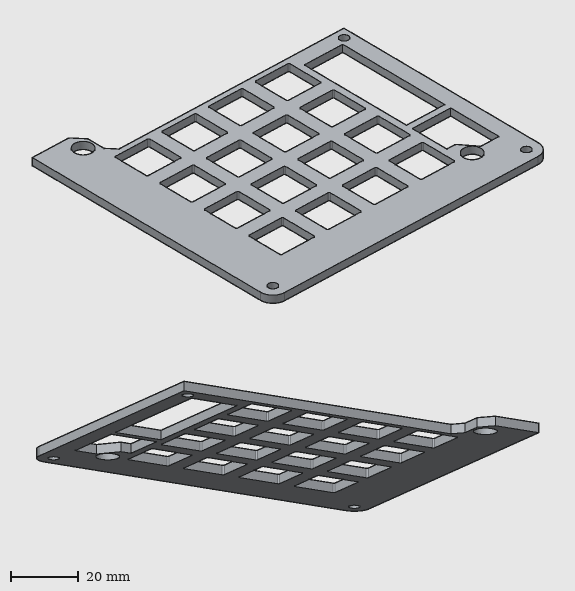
import cadquery as cq

width = 102.9
length = 113.7
thickness = 3.0
corner_radius = 5.0

left_edge = 14.4
foot_height = 18.8
foot_chamfer_x = 4.2
foot_chamfer_y = 3.8
step_start_x = 11.1
step_top_y = 21.7

key_size = 14.0
key_pitch = 19.1
key_count = 4
key_corner_radius = 0.5
first_key_x = 23.5
first_key_y = 24.9

window_bottom = 91.9
window_top = 107.6
display_left = 20.4
display_right = 64.1
side_left = 66.6
side_right = 87.3
side_notch_x = 81.4
side_notch_low = 95.4
side_notch_high = 100.2

screw_diameter = 3.4
left_screw_inset = 3.8
top_screw_inset = 3.5
screw_points = [
    (left_edge + left_screw_inset, length - top_screw_inset),
    (width - corner_radius, length - corner_radius),
    (width - corner_radius, corner_radius),
]
post_diameter = 7.0
post_points = [(6.8, 14.3), (88.1, 95.9)]


def make_plate():
    """Flat plate with a foot at the lower left and two rounded right corners."""
    outline = [
        (0, 0),
        (width, 0),
        (width, length),
        (left_edge, length),
        (left_edge, step_top_y),
        (step_start_x, foot_height),
        (foot_chamfer_x, foot_height),
        (0, foot_height - foot_chamfer_y),
    ]
    plate = cq.Workplane("XY").polyline(outline).close().extrude(thickness)
    return plate.edges("|Z and >X").fillet(corner_radius)


def through_cut(outline):
    """Cutter with a polygonal outline that spans the plate thickness."""
    return cq.Workplane("XY").polyline(outline).close().extrude(thickness)


def make_key_cutters():
    """Square grid of key openings with slightly rounded corners."""
    span = key_pitch * (key_count - 1)
    grid_center = (first_key_x + span / 2, first_key_y + span / 2)
    return (
        cq.Workplane("XY")
        .center(*grid_center)
        .rarray(key_pitch, key_pitch, key_count, key_count)
        .rect(key_size, key_size)
        .extrude(thickness)
        .edges("|Z")
        .fillet(key_corner_radius)
    )


def make_hole_cutters(points, diameter):
    """Round cutters of one diameter at the given centers."""
    return cq.Workplane("XY").pushPoints(points).circle(diameter / 2).extrude(thickness)


display_window = through_cut([
    (display_left, window_bottom),
    (display_right, window_bottom),
    (display_right, window_top),
    (display_left, window_top),
])

side_window = through_cut([
    (side_left, window_bottom),
    (side_notch_x, window_bottom),
    (side_notch_x, side_notch_low),
    (side_right, side_notch_high),
    (side_right, window_top),
    (side_left, window_top),
])

result = (
    make_plate()
    .cut(make_key_cutters())
    .cut(display_window)
    .cut(side_window)
    .cut(make_hole_cutters(screw_points, screw_diameter))
    .cut(make_hole_cutters(post_points, post_diameter))
)